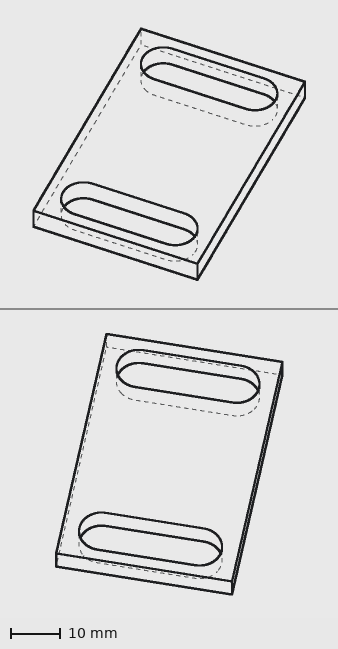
import cadquery as cq

plate_width = 36.0
plate_length = 54.0
plate_thickness = 4.8

slot_length = 29.1
slot_width = 9.0
slot_spacing = 40.0

plate = cq.Workplane("XY").box(plate_width, plate_length, plate_thickness)

result = (
    plate.faces(">Z")
    .workplane()
    .pushPoints([(0, -slot_spacing / 2), (0, slot_spacing / 2)])
    .slot2D(slot_length, slot_width)
    .cutThruAll()
)